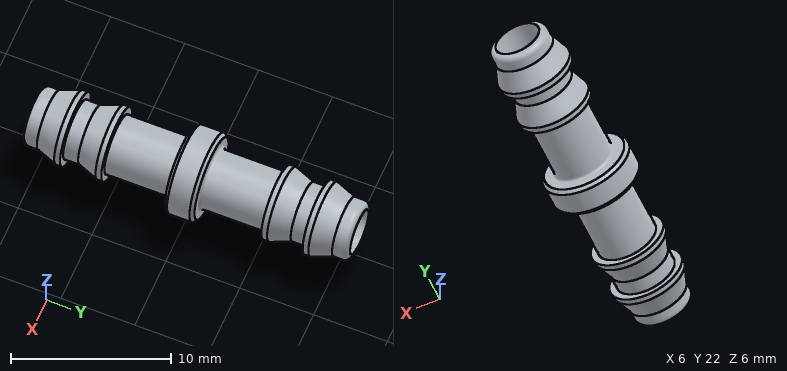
import cadquery as cq
import math

length = 22.0
bore_radius = 1.5
tube_radius = 2.0
barb_radius = 2.5
collar_diameter = 6.0
collar_radius = collar_diameter / 2

nose_length = 1.01
barb_cone_length = 1.39
barb_land_length = 0.4
barb_pitch = 2.8
barbs_per_end = 2

collar_width = 2.0
collar_chamfer = 0.25
collar_foot_fillet = 0.22
tip_fillet = 0.4

half_length = length / 2


def revolve_about_y(profile):
    """Turn a closed (radius, y) profile once around the part axis."""
    return profile.close().revolve(360, (0, 0, 0), (0, 1, 0))


def make_tube():
    """Plain outer cylinder with rounded tips."""
    tube = revolve_about_y(
        cq.Workplane("XY")
        .moveTo(0, -half_length)
        .lineTo(tube_radius, -half_length)
        .lineTo(tube_radius, half_length)
        .lineTo(0, half_length)
    )
    return tube.faces("<Y or >Y").edges().fillet(tip_fillet)


def make_barb(start, inward):
    """Cone widening toward the collar, then a short land and a square back."""
    cone_end = start + inward * barb_cone_length
    back = cone_end + inward * barb_land_length
    return revolve_about_y(
        cq.Workplane("XY")
        .moveTo(0, start)
        .lineTo(tube_radius, start)
        .lineTo(barb_radius, cone_end)
        .lineTo(barb_radius, back)
        .lineTo(0, back)
    )


def make_collar():
    """Chamfered collar with a concave fillet where it meets the tube on each side."""
    face = collar_width / 2
    foot = face + collar_foot_fillet
    fillet_top = tube_radius + collar_foot_fillet
    arc_offset = collar_foot_fillet * (1 - math.sqrt(0.5))
    arc_middle = (tube_radius + arc_offset, face + arc_offset)
    return revolve_about_y(
        cq.Workplane("XY")
        .moveTo(0, -foot)
        .lineTo(tube_radius, -foot)
        .threePointArc((arc_middle[0], -arc_middle[1]), (fillet_top, -face))
        .lineTo(collar_radius - collar_chamfer, -face)
        .lineTo(collar_radius, -face + collar_chamfer)
        .lineTo(collar_radius, face - collar_chamfer)
        .lineTo(collar_radius - collar_chamfer, face)
        .lineTo(fillet_top, face)
        .threePointArc(arc_middle, (tube_radius, foot))
        .lineTo(0, foot)
    )


def make_bore():
    """Through passage along the whole part."""
    return revolve_about_y(
        cq.Workplane("XY")
        .moveTo(0, -half_length)
        .lineTo(bore_radius, -half_length)
        .lineTo(bore_radius, half_length)
        .lineTo(0, half_length)
    )


body = make_tube().union(make_collar())
for end in (-1, 1):
    for index in range(barbs_per_end):
        barb_start = end * (half_length - nose_length - index * barb_pitch)
        body = body.union(make_barb(barb_start, -end))

result = body.cut(make_bore())